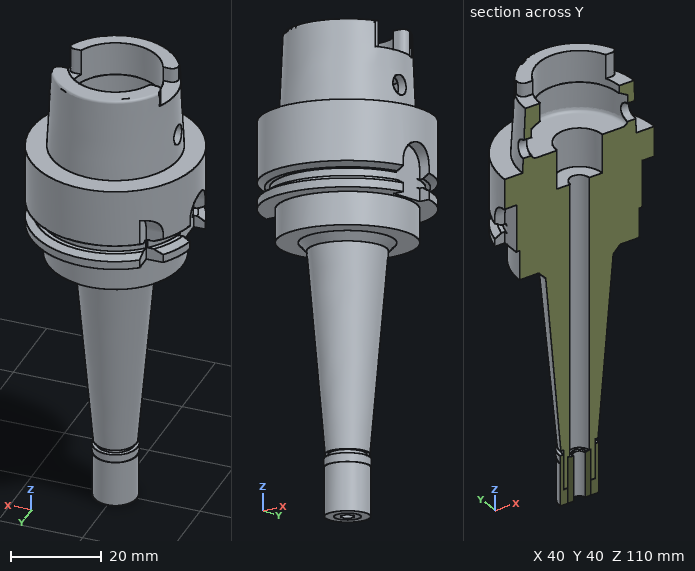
import cadquery as cq
import math

taper_top_z = 20.0
small_slot_z = 16.5
large_slot_z = 13.8
shoulder_top_z = 11.8
cavity_floor_z = 2.7
flange_bottom_z = -20.0
collar_bottom_z = -27.6
shank_top_z = -29.5
shank_bottom_z = -75.8
nut_top_z = -76.8
nut_step_z = -78.8
spigot_bottom_z = -86.0
tip_z = -90.0

taper_base_radius = 15.2
taper_top_radius = 14.3
taper_edge_fillet = 0.8
bore_radius = 10.5
cavity_radius = 12.75
cavity_fillet = 1.3
shoulder_angle = 60.0
thread_bore_radius = 6.0
thread_bore_depth = 10.0
drive_slot_width = 8.0
drive_slot_fillet = 1.5
drive_slot_rim_radius = 14.05
cross_hole_diameter = 4.6
cross_hole_z = 6.0

flange_radius = 20.0
groove_radius = 17.2
groove_center_z = -16.0
groove_floor_width = 2.0
groove_flank_height = 1.0
groove_flank_depth = 1.7
keyway_width = 9.0
keyway_top_z = -7.9
keyway_floor_x = 16.8
notch_floor_x = 12.0
notch_center_y = 16.5

collar_radius = 16.0
neck_top_radius = 10.9
shank_top_radius = 9.05
shank_bottom_radius = 5.0
shank_bore_radius = 2.5
spigot_radius = 4.3

nut_radius = 5.15
nut_ring_radius = 5.25
collet_radius = 3.0
collet_top_z = -78.0
collet_bore_radius = 1.5
collet_bore_chamfer = 0.3


def cylinder(radius, bottom_z, top_z):
    return cq.Workplane("XY").workplane(offset=bottom_z).circle(radius).extrude(top_z - bottom_z)


def turned_body():
    """Outside of the holder: taper, grooved flange, collar, conical shank and spigot."""
    floor_top = groove_center_z + groove_floor_width / 2
    floor_bottom = groove_center_z - groove_floor_width / 2
    flank_radius = flange_radius - groove_flank_depth
    outline = [
        (0, taper_top_z),
        (taper_top_radius, taper_top_z),
        (taper_base_radius, 0),
        (flange_radius, 0),
        (flange_radius, floor_top + groove_flank_height),
        (flank_radius, floor_top),
        (groove_radius, floor_top),
        (groove_radius, floor_bottom),
        (flank_radius, floor_bottom),
        (flange_radius, floor_bottom - groove_flank_height),
        (flange_radius, flange_bottom_z),
        (collar_radius, flange_bottom_z),
        (collar_radius, collar_bottom_z),
        (neck_top_radius, collar_bottom_z),
        (shank_top_radius, shank_top_z),
        (shank_bottom_radius, shank_bottom_z),
        (spigot_radius, shank_bottom_z),
        (spigot_radius, spigot_bottom_z),
        (0, spigot_bottom_z),
    ]
    body = cq.Workplane("XZ").polyline(outline).close().revolve(360, (0, 0, 0), (0, 1, 0))
    return body.faces(">Z").edges().fillet(taper_edge_fillet)


def drive_slot(side, floor_z):
    """Slot through one side wall of the taper, its outer corners rounded."""
    half_width = drive_slot_width / 2
    center_y = half_width + drive_slot_fillet
    center_distance = drive_slot_rim_radius - drive_slot_fillet
    center_x = math.sqrt(center_distance**2 - center_y**2)
    rim_x = center_x / center_distance
    rim_y = center_y / center_distance
    tangent_point = (drive_slot_rim_radius * rim_x, drive_slot_rim_radius * rim_y)
    middle_angle = (math.atan2(rim_y, rim_x) - math.pi / 2) / 2
    arc_middle = (
        center_x + drive_slot_fillet * math.cos(middle_angle),
        center_y + drive_slot_fillet * math.sin(middle_angle),
    )
    half_slot = (
        cq.Workplane("XY")
        .workplane(offset=floor_z)
        .lineTo(0, half_width)
        .lineTo(center_x, half_width)
        .threePointArc(arc_middle, tangent_point)
        .lineTo(flange_radius * rim_x, flange_radius * rim_y)
        .lineTo(flange_radius, 0)
        .close()
        .extrude(taper_top_z - floor_z)
    )
    slot = half_slot.union(half_slot.mirror("XZ"))
    return slot if side > 0 else slot.mirror("YZ")


def flange_keyway(side, center_y, floor_x):
    """Round-topped keyway open at the flange edge and underside, with a flat floor facing X."""
    radius = keyway_width / 2
    arch_z = keyway_top_z - radius
    depth = flange_radius - floor_x
    middle_x = side * (floor_x + flange_radius) / 2
    leg_height = arch_z - flange_bottom_z
    leg = cq.Workplane("XY").box(depth, keyway_width, leg_height).translate(
        (middle_x, center_y, flange_bottom_z + leg_height / 2)
    )
    arch = (
        cq.Workplane("YZ")
        .center(center_y, arch_z)
        .circle(radius)
        .extrude(depth / 2, both=True)
        .translate((middle_x, 0, 0))
    )
    return leg.union(arch)


def clamping_cavity():
    """Bore of the hollow taper, widening below a conical shoulder to a cavity with a rounded floor edge."""
    shoulder_height = (cavity_radius - bore_radius) / math.tan(math.radians(shoulder_angle))
    outline = [
        (0, taper_top_z),
        (bore_radius, taper_top_z),
        (bore_radius, shoulder_top_z),
        (cavity_radius, shoulder_top_z - shoulder_height),
        (cavity_radius, cavity_floor_z),
        (0, cavity_floor_z),
    ]
    cavity = cq.Workplane("XZ").polyline(outline).close().revolve(360, (0, 0, 0), (0, 1, 0))
    return cavity.faces("<Z").edges().fillet(cavity_fillet)


def make_holder():
    holder = turned_body()
    holder = holder.cut(clamping_cavity())
    holder = holder.cut(cylinder(thread_bore_radius, cavity_floor_z - thread_bore_depth, cavity_floor_z))
    holder = holder.cut(cylinder(shank_bore_radius, spigot_bottom_z, cavity_floor_z))
    holder = holder.cut(cylinder(collet_radius, spigot_bottom_z, collet_top_z))
    holder = holder.cut(drive_slot(-1, small_slot_z)).cut(drive_slot(1, large_slot_z))
    cross_hole = (
        cq.Workplane("YZ")
        .center(0, cross_hole_z)
        .circle(cross_hole_diameter / 2)
        .extrude(flange_radius, both=True)
    )
    holder = holder.cut(cross_hole)
    for side in (-1, 1):
        holder = holder.cut(flange_keyway(side, 0, keyway_floor_x))
    return holder.cut(flange_keyway(-1, notch_center_y, notch_floor_x))


def make_nut():
    """Nut around the spigot, with a slightly wider ring at its top and an opening for the collet."""
    nut = cylinder(nut_radius, tip_z, nut_step_z).union(cylinder(nut_ring_radius, nut_step_z, nut_top_z))
    nut = nut.cut(cylinder(spigot_radius, spigot_bottom_z, nut_top_z))
    return nut.cut(cylinder(collet_radius, tip_z, spigot_bottom_z))


def make_collet():
    """Collet sleeve with a chamfered bore mouth at its upper end."""
    collet = cylinder(collet_radius, tip_z, collet_top_z)
    collet = collet.cut(cylinder(collet_bore_radius, tip_z, collet_top_z))
    bore_mouth = cq.selectors.RadiusNthSelector(0)
    return collet.faces(">Z").edges(bore_mouth).chamfer(collet_bore_chamfer)


holder = make_holder()
nut = make_nut()
collet = make_collet()

result = cq.Compound.makeCompound([holder.val(), nut.val(), collet.val()])